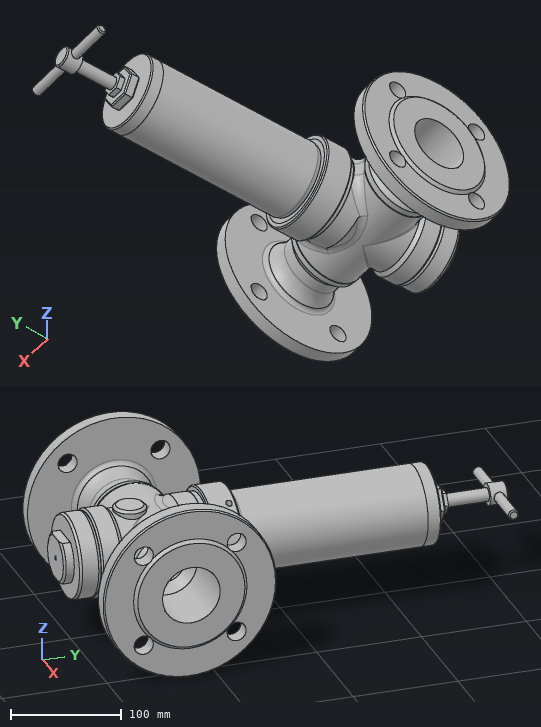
import cadquery as cq
import math


OVERALL_LENGTH = 429.0

FACE_X = 115.0
FACE_HEIGHT = 3.0
FACE_RADIUS = 51.0
FLANGE_DIAMETER = 165.0
FLANGE_BACK_X = 97.0
FLANGE_CHAMFER_LENGTH = 1.7
FLANGE_CHAMFER_DEPTH = 1.5
BOLT_HOLE_DIAMETER = 18.0
BOLT_CIRCLE_DIAMETER = 125.3
BOLT_COUNT = 4
ROOT_RADIUS = 40.8
HUB_X = 92.5
HUB_RADIUS = 36.5
NECK_X = 77.0
NECK_RADIUS = 31.0
SHOULDER_X = 64.8
COLLAR_X = 58.5
COLLAR_RADIUS = 37.0

BARREL_HALF_LENGTH = 52.5
BARREL_RADIUS = 37.8
BORE_RADIUS = 27.5
SEAT_RADIUS = 19.0
SEAT_HALF_LENGTH = 43.0

BONNET_RADIUS = 42.5
BONNET_NECK_RADIUS = 42.0
BONNET_CORNER_Y = 23.0
BONNET_TAPER_DEPTH = 6.5
BONNET_TAPER_LENGTH = 13.0
BONNET_TOP_Y = 42.0
BONNET_FILLET = 9.5
PLUG_BRANCH_END_Y = 59.5
PLUG_BRANCH_RADIUS = 41.0
PLUG_BRANCH_STEP_Y = 40.8
PLUG_BRANCH_CHAMFER = 1.7
FLAT_TOLERANCE = 0.05
BRANCH_BLEND = 1.7

BOSS_Y = -19.0
BOSS_RADIUS = 15.5
BOSS_TOP_Z = 42.5
BOSS_CHAMFER = 2.5

PLUG_RADIUS = 40.0
PLUG_FLANGE_END_Y = 80.2
PLUG_CHAMFER_LENGTH = 2.5
PLUG_CHAMFER_DEPTH = 1.5
KNOB_END_Y = 89.5
KNOB_RADIUS = 24.5
KNOB_ACROSS_FLATS = 40.5
KNOB_CHAMFER_LENGTH = 1.7
KNOB_CHAMFER_DEPTH = 3.0
CENTRE_MARK_DIAMETER = 4.0
CENTRE_MARK_DEPTH = 2.0

UNION_BOTTOM_Y = 47.0
UNION_TOP_Y = 74.5
UNION_RADIUS = 47.0
UNION_CHAMFER = 1.5
SCREW_HOLE_X = 23.5
SCREW_HOLE_Y = 67.8
SCREW_HOLE_DIAMETER = 5.5

HOUSING_RADIUS = 38.0
HOUSING_TAPER_LENGTH = 4.5
HOUSING_TAPER_DEPTH = 1.5
HOUSING_END_Y = 252.5
COVER_TOP_Y = 265.5
COVER_CHAMFER = 1.5

COVER_NUT_TOP_Y = 276.0
COVER_NUT_ACROSS_CORNERS = 40.8
COVER_NUT_CHAMFER = 1.5
LOCK_NUT_TOP_Y = 281.5
LOCK_NUT_ACROSS_CORNERS = 23.0

SPINDLE_RADIUS = 6.5
HEAD_RADIUS = 10.5
HEAD_BOTTOM_Y = 322.0
SPINDLE_TOP_Y = OVERALL_LENGTH - KNOB_END_Y
HEAD_CHAMFER = 1.5
BAR_Y = 330.5
BAR_DIAMETER = 10.0
BAR_LENGTH = 100.5
BAR_CHAMFER = 1.5


def y_cylinder(radius, y_start, y_end):
    """Cylinder on the Y axis between two heights."""
    return (
        cq.Workplane("XZ", origin=(0, y_start, 0))
        .circle(radius)
        .extrude(y_start - y_end)
    )


def revolve_about_y(points):
    """Solid of revolution about Y from (radius, y) points; the outline closes on the axis."""
    return cq.Workplane("XY").polyline(points).close().revolve(360, (0, 0), (0, 1))


def flanged_neck():
    """Flange, hub, neck and collar on the +X side, solid down to the centre plane."""
    face_base_x = FACE_X - FACE_HEIGHT
    flange_radius = FLANGE_DIAMETER / 2
    half_run = (HUB_X - NECK_X) / 2
    hub_arc_angle = math.atan2(HUB_RADIUS - NECK_RADIUS, HUB_X - NECK_X)
    hub_arc_radius = half_run / (math.sin(hub_arc_angle) * math.cos(hub_arc_angle))
    hub_arc_middle = (
        NECK_X + hub_arc_radius * math.sin(hub_arc_angle),
        NECK_RADIUS + hub_arc_radius * (1 - math.cos(hub_arc_angle)),
    )
    root_arc_middle = (
        HUB_X + (FLANGE_BACK_X - HUB_X) * math.sin(math.pi / 4),
        ROOT_RADIUS - (ROOT_RADIUS - HUB_RADIUS) * math.cos(math.pi / 4),
    )
    outline = (
        cq.Workplane("XY")
        .moveTo(0, 0)
        .lineTo(FACE_X, 0)
        .lineTo(FACE_X, FACE_RADIUS)
        .lineTo(face_base_x, FACE_RADIUS + FACE_HEIGHT)
        .lineTo(face_base_x, flange_radius - FLANGE_CHAMFER_DEPTH)
        .lineTo(face_base_x - FLANGE_CHAMFER_LENGTH, flange_radius)
        .lineTo(FLANGE_BACK_X, flange_radius)
        .lineTo(FLANGE_BACK_X, ROOT_RADIUS)
        .threePointArc(root_arc_middle, (HUB_X, HUB_RADIUS))
        .threePointArc(hub_arc_middle, (NECK_X, NECK_RADIUS))
        .lineTo(SHOULDER_X, NECK_RADIUS)
        .lineTo(COLLAR_X, COLLAR_RADIUS)
        .lineTo(0, COLLAR_RADIUS)
        .close()
    )
    neck = outline.revolve(360, (0, 0), (1, 0))
    bolt_holes = (
        cq.Workplane("YZ", origin=(FLANGE_BACK_X, 0, 0))
        .polarArray(BOLT_CIRCLE_DIAMETER / 2, 180 / BOLT_COUNT, 360, BOLT_COUNT)
        .circle(BOLT_HOLE_DIAMETER / 2)
        .extrude(FACE_X - FLANGE_BACK_X)
    )
    return neck.cut(bolt_holes)


def barrel():
    """Middle of the body: a cylinder along X with flats towards +Y and -Y."""
    cylinder = (
        cq.Workplane("YZ", origin=(-BARREL_HALF_LENGTH, 0, 0))
        .circle(BARREL_RADIUS)
        .extrude(2 * BARREL_HALF_LENGTH)
    )
    slab = cq.Workplane("XY").box(2 * BARREL_HALF_LENGTH, 2 * COLLAR_RADIUS, 2 * BARREL_RADIUS)
    return cylinder.intersect(slab)


def bonnet_branch():
    """Upper branch: cylinder with a tapered foot inside the barrel, ending flush with the union nut."""
    foot_radius = BONNET_RADIUS - BONNET_TAPER_DEPTH
    return revolve_about_y([
        (0, 0),
        (foot_radius, 0),
        (foot_radius, BONNET_CORNER_Y - BONNET_TAPER_LENGTH),
        (BONNET_RADIUS, BONNET_CORNER_Y),
        (BONNET_RADIUS, UNION_TOP_Y),
        (0, UNION_TOP_Y),
    ])


def plug_branch():
    """Lower branch, stepped out to the rim on which the plug seats."""
    return revolve_about_y([
        (0, 0),
        (BARREL_RADIUS, 0),
        (BARREL_RADIUS, -COLLAR_RADIUS),
        (PLUG_BRANCH_RADIUS, -PLUG_BRANCH_STEP_Y),
        (PLUG_BRANCH_RADIUS, -PLUG_BRANCH_END_Y + PLUG_BRANCH_CHAMFER),
        (PLUG_BRANCH_RADIUS - PLUG_BRANCH_CHAMFER, -PLUG_BRANCH_END_Y),
        (0, -PLUG_BRANCH_END_Y),
    ])


def bore():
    """Passage along X that narrows to the seat in the middle."""
    half = [
        (0, 0),
        (0, SEAT_RADIUS),
        (SEAT_HALF_LENGTH, SEAT_RADIUS),
        (SEAT_HALF_LENGTH + BORE_RADIUS - SEAT_RADIUS, BORE_RADIUS),
        (FACE_X, BORE_RADIUS),
        (FACE_X, 0),
    ]
    passage = cq.Workplane("XY").polyline(half).close().revolve(360, (0, 0), (1, 0))
    return passage.union(passage.mirror("YZ"))


def is_bonnet_junction(edge):
    """True for the edges where the upper branch runs into the top, bottom and flat of the barrel."""
    box = edge.BoundingBox()
    inside_barrel = max(box.xmax, -box.xmin) < BARREL_HALF_LENGTH - BONNET_FILLET / 2
    on_flat = box.ymin > COLLAR_RADIUS - FLAT_TOLERANCE
    below_neck = 0 < box.ymin and box.ymax < BONNET_TOP_Y
    return inside_barrel and below_neck and (on_flat or edge.geomType() == "BSPLINE")


def barrel_with_bonnet():
    """Barrel with the upper branch blended in; the blend stops at a flat below the union nut."""
    joined = barrel().union(bonnet_branch())
    junction = [edge for edge in joined.edges().vals() if is_bonnet_junction(edge)]
    blended = joined.newObject(junction).fillet(BONNET_FILLET)
    spare_radius = BONNET_RADIUS + BONNET_FILLET
    facing_cut = y_cylinder(spare_radius, BONNET_TOP_Y, UNION_TOP_Y).cut(
        y_cylinder(BONNET_NECK_RADIUS, BONNET_TOP_Y, UNION_TOP_Y)
    )
    return blended.cut(facing_cut)


def boss():
    """Round boss on the top of the lower branch, rooted on the branch axis."""
    return (
        cq.Workplane("XY", origin=(0, BOSS_Y, 0))
        .circle(BOSS_RADIUS)
        .extrude(BOSS_TOP_Z)
        .faces(">Z")
        .chamfer(BOSS_CHAMFER)
    )


def barrel_with_plug_branch():
    """Barrel with the lower branch; the two equal cylinders meet along blended mitre lines."""
    return barrel().union(plug_branch()).edges("%ELLIPSE").fillet(BRANCH_BLEND)


def make_body():
    """Valve body: barrel, two branches, two flanged necks and the boss, bored along X."""
    neck = flanged_neck()
    solid = (
        barrel_with_bonnet()
        .union(barrel_with_plug_branch())
        .union(neck)
        .union(neck.mirror("YZ"))
        .union(boss())
    )
    return solid.cut(bore())


def make_plug():
    """Bottom plug with a knob that has two flats."""
    seat_y = -PLUG_BRANCH_END_Y
    end_y = -PLUG_FLANGE_END_Y
    edge_radius = PLUG_RADIUS - PLUG_CHAMFER_DEPTH
    disc = revolve_about_y([
        (0, seat_y),
        (edge_radius, seat_y),
        (PLUG_RADIUS, seat_y - PLUG_CHAMFER_LENGTH),
        (PLUG_RADIUS, end_y + PLUG_CHAMFER_LENGTH),
        (edge_radius, end_y),
        (0, end_y),
    ])
    knob = revolve_about_y([
        (0, end_y),
        (KNOB_RADIUS, end_y),
        (KNOB_RADIUS, -KNOB_END_Y + KNOB_CHAMFER_LENGTH),
        (KNOB_RADIUS - KNOB_CHAMFER_DEPTH, -KNOB_END_Y),
        (0, -KNOB_END_Y),
    ])
    flats = cq.Workplane("XY").box(2 * KNOB_RADIUS, 2 * KNOB_END_Y, KNOB_ACROSS_FLATS)
    centre_mark = y_cylinder(CENTRE_MARK_DIAMETER / 2, -KNOB_END_Y, -KNOB_END_Y + CENTRE_MARK_DEPTH)
    return disc.union(knob.intersect(flats)).cut(centre_mark)


def make_union_nut():
    """Union nut round the neck, with a small screw hole through its wall."""
    ring = (
        y_cylinder(UNION_RADIUS, UNION_BOTTOM_Y, UNION_TOP_Y)
        .faces("<Y or >Y")
        .chamfer(UNION_CHAMFER)
    )
    screw_hole = (
        cq.Workplane("XY", origin=(SCREW_HOLE_X, SCREW_HOLE_Y, 0))
        .circle(SCREW_HOLE_DIAMETER / 2)
        .extrude(UNION_RADIUS)
    )
    return ring.cut(screw_hole).cut(y_cylinder(BONNET_NECK_RADIUS, UNION_BOTTOM_Y, UNION_TOP_Y))


def make_housing():
    """Solid spring housing that stands on the neck of the body."""
    return revolve_about_y([
        (0, UNION_TOP_Y),
        (HOUSING_RADIUS - HOUSING_TAPER_DEPTH, UNION_TOP_Y),
        (HOUSING_RADIUS, UNION_TOP_Y + HOUSING_TAPER_LENGTH),
        (HOUSING_RADIUS, HOUSING_END_Y),
        (0, HOUSING_END_Y),
    ])


def spindle_hole():
    """Clearance for the spindle shank, from the housing up to the spindle head."""
    return y_cylinder(SPINDLE_RADIUS, HOUSING_END_Y, HEAD_BOTTOM_Y)


def make_cover():
    """Disc that closes the top of the spring housing."""
    cover = y_cylinder(HOUSING_RADIUS, HOUSING_END_Y, COVER_TOP_Y).faces(">Y").chamfer(COVER_CHAMFER)
    return cover.cut(spindle_hole())


def hexagon_nut(across_corners, y_bottom, y_top):
    """Hexagon nut round the spindle, with corners towards +X and -X."""
    return (
        cq.Workplane("XZ", origin=(0, y_bottom, 0))
        .polygon(6, across_corners)
        .extrude(y_bottom - y_top)
    )


def make_cover_nut():
    """Large hexagon nut on the cover, chamfered at both ends."""
    nut = hexagon_nut(COVER_NUT_ACROSS_CORNERS, COVER_TOP_Y, COVER_NUT_TOP_Y)
    return nut.faces("<Y or >Y").chamfer(COVER_NUT_CHAMFER).cut(spindle_hole())


def make_lock_nut():
    """Small plain hexagon nut above the cover nut."""
    nut = hexagon_nut(LOCK_NUT_ACROSS_CORNERS, COVER_NUT_TOP_Y, LOCK_NUT_TOP_Y)
    return nut.cut(spindle_hole())


def handle_bar_blank():
    """Plain rod of the handle bar, which is also the cross hole in the spindle head."""
    return (
        cq.Workplane("YZ", origin=(-BAR_LENGTH / 2, BAR_Y, 0))
        .circle(BAR_DIAMETER / 2)
        .extrude(BAR_LENGTH)
    )


def make_spindle():
    """Spindle whose head is cross-drilled for the handle bar."""
    head = y_cylinder(HEAD_RADIUS, HEAD_BOTTOM_Y, SPINDLE_TOP_Y).faces(">Y").chamfer(HEAD_CHAMFER)
    shank = y_cylinder(SPINDLE_RADIUS, HOUSING_END_Y, HEAD_BOTTOM_Y)
    return head.union(shank).cut(handle_bar_blank())


def make_handle_bar():
    """Handle bar with chamfered ends."""
    return handle_bar_blank().faces("<X or >X").chamfer(BAR_CHAMFER)


body = make_body()
plug = make_plug()
union_nut = make_union_nut()
housing = make_housing()
cover = make_cover()
cover_nut = make_cover_nut()
lock_nut = make_lock_nut()
spindle = make_spindle()
handle_bar = make_handle_bar()

result = cq.Compound.makeCompound([
    body.val(),
    plug.val(),
    union_nut.val(),
    housing.val(),
    cover.val(),
    cover_nut.val(),
    lock_nut.val(),
    spindle.val(),
    handle_bar.val(),
])